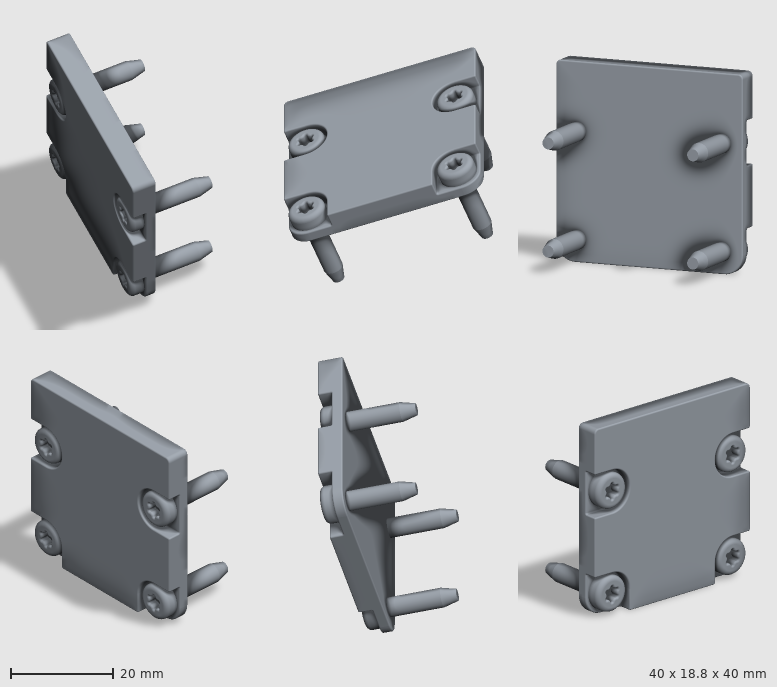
import cadquery as cq
import math

PLATE_SIZE = 40.0
PLATE_THICKNESS = 5.0
TOP_CORNER_RADIUS = 1.0
BOTTOM_CORNER_RADIUS = 4.0
EDGE_ROUND = 0.3
TOLERANCE = 0.005

SCREW_SPACING_X = 31.0
SCREW_SPACING_Z = 21.5
SCREW_X = SCREW_SPACING_X / 2
LOWER_SCREW_Z = -SCREW_X
UPPER_SCREW_Z = LOWER_SCREW_Z + SCREW_SPACING_Z

POCKET_RADIUS = 4.5
POCKET_DEPTH = 2.8
POCKET_OVERRUN = 4.0

HEAD_DIAMETER = 7.5
HEAD_ROUND = 1.0
SHANK_DIAMETER = 3.9
SHANK_TIP_DIAMETER = 2.4
SHANK_TIP_LENGTH = 3.0
SHANK_END_Y = 18.8

SOCKET_LOBES = 6
SOCKET_TIP_RADIUS = 1.75
SOCKET_VALLEY_RADIUS = 1.3
SOCKET_LOBE_ROUND = 0.3
SOCKET_DEPTH = 2.0
SOCKET_RIM_ROUND = 0.4


def xz_plane(y, x=0.0, z=0.0):
    """Sketch plane at depth y: local x is X, local y is Z, a negative extrusion goes towards +Y."""
    return cq.Workplane("XZ", origin=(x, y, z))


def polar(radius, angle):
    return (radius * math.cos(angle), radius * math.sin(angle))


def make_blank():
    blank = xz_plane(0).rect(PLATE_SIZE, PLATE_SIZE).extrude(-PLATE_THICKNESS)
    blank = blank.edges("|Y and >Z").fillet(TOP_CORNER_RADIUS)
    blank = blank.edges("|Y and <Z").fillet(BOTTOM_CORNER_RADIUS)
    return blank.faces(">Y").edges().fillet(EDGE_ROUND)


def make_pocket(side, z, opens_down):
    """Cutting body with a rounded inner end, open to the side and, if wanted, to the bottom."""
    reach = PLATE_SIZE / 2 - SCREW_X + POCKET_OVERRUN
    outline = xz_plane(0, side * SCREW_X, z).moveTo(side * reach, POCKET_RADIUS).lineTo(0, POCKET_RADIUS)
    if opens_down:
        corner = polar(POCKET_RADIUS, math.pi / 4)
        outline = outline.threePointArc((-side * corner[0], corner[1]), (-side * POCKET_RADIUS, 0))
        outline = outline.lineTo(-side * POCKET_RADIUS, -reach).lineTo(side * reach, -reach)
    else:
        outline = outline.threePointArc((-side * POCKET_RADIUS, 0), (0, -POCKET_RADIUS))
        outline = outline.lineTo(side * reach, -POCKET_RADIUS)
    pocket = outline.close().extrude(-POCKET_DEPTH)
    return pocket.faces(">Y").edges().fillet(EDGE_ROUND)


def is_front_rim(edge, blank_surface):
    """True for edges on the surface of the blank that lie between the front face and the pocket floors."""
    midpoint = cq.Vertex.makeVertex(*edge.positionAt(0.5).toTuple())
    on_surface = midpoint.distance(blank_surface) < TOLERANCE
    return on_surface and edge.BoundingBox().ymax < POCKET_DEPTH + TOLERANCE


def make_plate():
    blank = make_blank()
    plate = blank
    for side in (-1, 1):
        plate = plate.cut(make_pocket(side, UPPER_SCREW_Z, opens_down=False))
        plate = plate.cut(make_pocket(side, LOWER_SCREW_Z, opens_down=True))
    blank_surface = blank.shells().val()
    front_rims = [edge for edge in plate.edges().vals() if is_front_rim(edge, blank_surface)]
    return plate.newObject(front_rims).fillet(EDGE_ROUND)


def make_socket():
    """Six-lobe prism whose lobe and valley arcs are tangent; one lobe points along +Z."""
    half_pitch = math.pi / SOCKET_LOBES
    lobe_centre = SOCKET_TIP_RADIUS - SOCKET_LOBE_ROUND
    offset = SOCKET_VALLEY_RADIUS - SOCKET_LOBE_ROUND
    valley_centre = (lobe_centre**2 - offset**2) / (2 * (lobe_centre * math.cos(half_pitch) - offset))
    valley_round = valley_centre - SOCKET_VALLEY_RADIUS
    blend = SOCKET_LOBE_ROUND / (SOCKET_LOBE_ROUND + valley_round)
    joint_along = lobe_centre + blend * (valley_centre * math.cos(half_pitch) - lobe_centre)
    joint_across = blend * valley_centre * math.sin(half_pitch)
    joint_radius = math.hypot(joint_along, joint_across)
    joint_angle = math.atan2(joint_across, joint_along)

    outline = xz_plane(0).moveTo(*polar(joint_radius, math.pi / 2 - joint_angle))
    for lobe in range(SOCKET_LOBES):
        tip = math.pi / 2 + 2 * half_pitch * lobe
        valley = tip + half_pitch
        next_tip = valley + half_pitch
        outline = outline.threePointArc(
            polar(SOCKET_TIP_RADIUS, tip), polar(joint_radius, tip + joint_angle)
        )
        outline = outline.threePointArc(
            polar(SOCKET_VALLEY_RADIUS, valley), polar(joint_radius, next_tip - joint_angle)
        )
    return outline.close().extrude(-SOCKET_DEPTH)


def make_screw():
    """Screw on the Y axis with the top of its head on Y = 0."""
    head = xz_plane(0).circle(HEAD_DIAMETER / 2).extrude(-POCKET_DEPTH)
    head = head.faces("<Y").edges().fillet(HEAD_ROUND)
    head = head.cut(make_socket())
    socket_rim = head.faces("<Y").val().innerWires()[0].Edges()
    head = head.newObject(socket_rim).fillet(SOCKET_RIM_ROUND)
    shank = (
        cq.Workplane("XY")
        .moveTo(0, POCKET_DEPTH)
        .lineTo(SHANK_DIAMETER / 2, POCKET_DEPTH)
        .lineTo(SHANK_DIAMETER / 2, SHANK_END_Y - SHANK_TIP_LENGTH)
        .lineTo(SHANK_TIP_DIAMETER / 2, SHANK_END_Y)
        .lineTo(0, SHANK_END_Y)
        .close()
        .revolve(360, (0, 0, 0), (0, 1, 0))
    )
    return head.union(shank)


result = make_plate()
screw = make_screw()
for screw_x in (-SCREW_X, SCREW_X):
    for screw_z in (LOWER_SCREW_Z, UPPER_SCREW_Z):
        result = result.union(screw.translate((screw_x, 0, screw_z)))